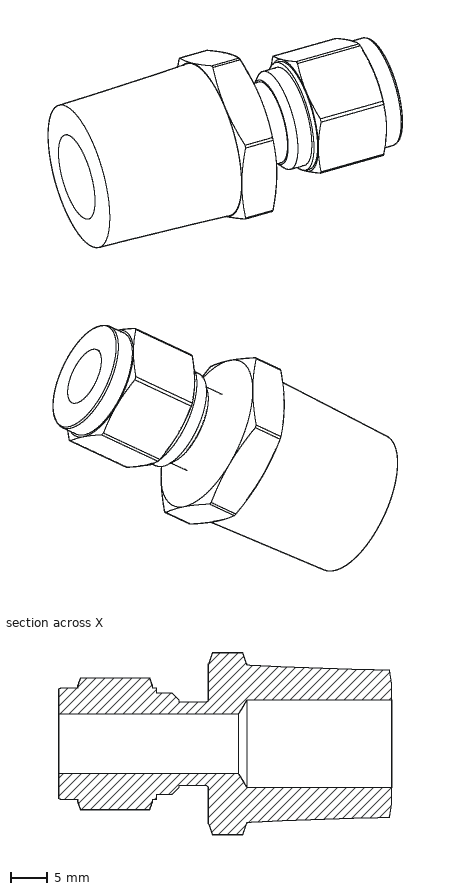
import cadquery as cq
import math

length = 46.0

thread_tip_radius = 10.2
thread_root_radius = 10.9
end_face_radius = 8.15
end_bevel_length = 0.3

body_hex_start = 20.0
body_hex_end = 25.35
body_hex_flats = 22.0
body_hex_corner_diameter = 25.15

neck_radius = 5.8
neck_flare = 0.35
shoulder_start = 29.35
shoulder_small_radius = 6.03
shoulder_radius = 7.05
shoulder_cone_length = shoulder_radius - shoulder_small_radius

nut_start = 32.48
nut_hex_start = 33.05
nut_hex_end = 43.4
nut_hex_flats = 16.0
nut_hex_corner_diameter = 18.2
collar_radius = 7.75
collar_bevel_radial = 0.15
collar_bevel_length = 0.28

hex_bevel_angle = math.radians(20)

through_radius = 4.05
counterbore_radius = 6.03
counterbore_depth = body_hex_start
drill_half_angle = math.radians(59)
drill_cone_length = (counterbore_radius - through_radius) / math.tan(drill_half_angle)


def revolve_profile(points):
    """Solid of revolution about Y from a closed (radius, axial position) outline."""
    return cq.Workplane("XY").polyline(points).close().revolve(360, (0, 0), (0, 1))


def beveled_hexagon(start, end, flats, corner_diameter):
    """Hexagon along Y with corners up and down, rounded and beveled at both ends by a turned envelope."""
    prism = (
        cq.Workplane("XZ", origin=(0, end, 0))
        .polygon(6, flats / math.cos(math.pi / 6))
        .extrude(end - start)
        .rotate((0, 0, 0), (0, 1, 0), 30)
    )
    flat_radius = flats / 2
    corner_radius = corner_diameter / 2
    bevel = (corner_radius - flat_radius) * math.tan(hex_bevel_angle)
    envelope = revolve_profile([
        (0, start),
        (flat_radius, start),
        (corner_radius, start + bevel),
        (corner_radius, end - bevel),
        (flat_radius, end),
        (0, end),
    ])
    return prism.intersect(envelope)


turned_body = (
    cq.Workplane("XY")
    .moveTo(0, 0)
    .lineTo(end_face_radius, 0)
    .lineTo(thread_tip_radius, end_bevel_length)
    .lineTo(thread_root_radius, body_hex_start)
    .lineTo(thread_root_radius, body_hex_end)
    .lineTo(neck_radius + neck_flare, body_hex_end)
    .radiusArc((neck_radius, body_hex_end + neck_flare), neck_flare)
    .lineTo(neck_radius, shoulder_start)
    .lineTo(shoulder_small_radius, shoulder_start)
    .lineTo(shoulder_radius, shoulder_start + shoulder_cone_length)
    .lineTo(shoulder_radius, nut_start)
    .lineTo(collar_radius, nut_start)
    .lineTo(collar_radius, length - collar_bevel_length)
    .lineTo(collar_radius - collar_bevel_radial, length)
    .lineTo(0, length)
    .close()
    .revolve(360, (0, 0), (0, 1))
)

body_hex = beveled_hexagon(body_hex_start, body_hex_end, body_hex_flats, body_hex_corner_diameter)
nut_hex = beveled_hexagon(nut_hex_start, nut_hex_end, nut_hex_flats, nut_hex_corner_diameter)

bore = revolve_profile([
    (0, 0),
    (counterbore_radius, 0),
    (counterbore_radius, counterbore_depth),
    (through_radius, counterbore_depth + drill_cone_length),
    (through_radius, length),
    (0, length),
])

fitting = turned_body.union(body_hex).union(nut_hex).cut(bore)
result = fitting.translate((0, -length / 2, 0))